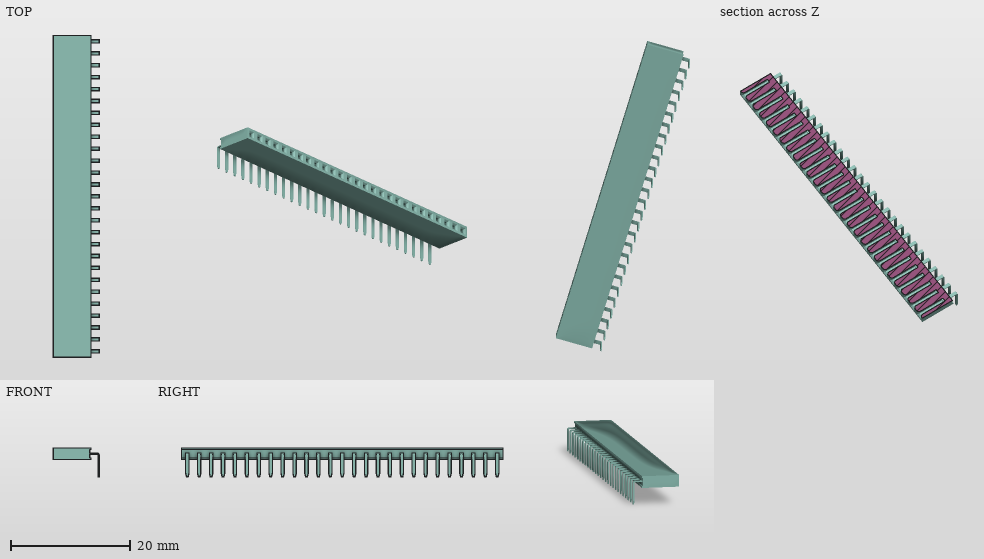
import cadquery as cq

PIN_COUNT = 27
PITCH = 2.0
OVERALL_DEPTH = 7.72
OVERALL_HEIGHT = 4.9

BODY_LENGTH = PIN_COUNT * PITCH
BODY_DEPTH = 6.35
BODY_HEIGHT = 2.0
REAR_RECESS_DEPTH = 0.2
REAR_LIP_HEIGHT = 0.3

SOCKET_MOUTH = 1.2
SOCKET_HOLE = 0.6
SOCKET_LEAD_IN = 0.3
SOCKET_DEPTH = 5.0

PIN_WIDTH = 0.6
PIN_THICKNESS = 0.2
BEND_INNER_RADIUS = 0.1
BEND_OUTER_RADIUS = BEND_INNER_RADIUS + PIN_THICKNESS
TAB_WIDTH = 0.5
TAB_PROTRUSION = 0.2
TIP_WIDTH = 0.3
TIP_LENGTH = 0.6

REAR_WALL_X = BODY_DEPTH - REAR_RECESS_DEPTH
PIN_TIP_Z = BODY_HEIGHT / 2 - OVERALL_HEIGHT
PIN_ROW = [(i - (PIN_COUNT - 1) / 2) * PITCH for i in range(PIN_COUNT)]


def make_housing():
    """Long block with a full-length recess between two lips on its rear face."""
    block = cq.Workplane("XY").box(BODY_DEPTH, BODY_LENGTH, BODY_HEIGHT, centered=(False, True, True))
    recess_height = BODY_HEIGHT - 2 * REAR_LIP_HEIGHT
    recess = (
        cq.Workplane("XY")
        .box(REAR_RECESS_DEPTH, BODY_LENGTH, recess_height, centered=(False, True, True))
        .translate((REAR_WALL_X, 0, 0))
    )
    return block.cut(recess)


def make_socket():
    """Cutter for one square blind hole with a tapered lead-in at the socket face."""
    lead_in = (
        cq.Workplane("YZ")
        .rect(SOCKET_MOUTH, SOCKET_MOUTH)
        .workplane(offset=SOCKET_LEAD_IN)
        .rect(SOCKET_HOLE, SOCKET_HOLE)
        .loft(ruled=True)
    )
    hole = cq.Workplane("YZ").rect(SOCKET_HOLE, SOCKET_HOLE).extrude(SOCKET_DEPTH)
    return lead_in.union(hole)


def make_pin():
    """Flat strip bent down through a right angle, with a tapered tip and a narrower inner end tab."""
    start_x = SOCKET_DEPTH
    top_z = PIN_THICKNESS / 2
    strip = (
        cq.Workplane("XZ")
        .moveTo(start_x, top_z)
        .lineTo(OVERALL_DEPTH - BEND_OUTER_RADIUS, top_z)
        .radiusArc((OVERALL_DEPTH, top_z - BEND_OUTER_RADIUS), BEND_OUTER_RADIUS)
        .lineTo(OVERALL_DEPTH, PIN_TIP_Z)
        .lineTo(OVERALL_DEPTH - PIN_THICKNESS, PIN_TIP_Z)
        .lineTo(OVERALL_DEPTH - PIN_THICKNESS, top_z - BEND_OUTER_RADIUS)
        .radiusArc((OVERALL_DEPTH - BEND_OUTER_RADIUS, -top_z), -BEND_INNER_RADIUS)
        .lineTo(start_x, -top_z)
        .close()
        .extrude(PIN_WIDTH / 2, both=True)
    )
    tapered_outline = (
        cq.Workplane("YZ")
        .moveTo(-TIP_WIDTH / 2, PIN_TIP_Z)
        .lineTo(TIP_WIDTH / 2, PIN_TIP_Z)
        .lineTo(PIN_WIDTH / 2, PIN_TIP_Z + TIP_LENGTH)
        .lineTo(PIN_WIDTH / 2, top_z)
        .lineTo(-PIN_WIDTH / 2, top_z)
        .lineTo(-PIN_WIDTH / 2, PIN_TIP_Z + TIP_LENGTH)
        .close()
        .extrude(OVERALL_DEPTH)
    )
    tab = (
        cq.Workplane("YZ")
        .workplane(offset=start_x - TAB_PROTRUSION)
        .rect(TAB_WIDTH, PIN_THICKNESS)
        .extrude(TAB_PROTRUSION)
    )
    return strip.intersect(tapered_outline).union(tab)


def repeat_along_row(shape):
    """One copy of the shape at every contact position."""
    return cq.Compound.makeCompound([shape.val().translate(cq.Vector(0, y, 0)) for y in PIN_ROW])


result = (
    make_housing()
    .cut(cq.Workplane(repeat_along_row(make_socket())))
    .union(cq.Workplane(repeat_along_row(make_pin())))
    .solids()
)